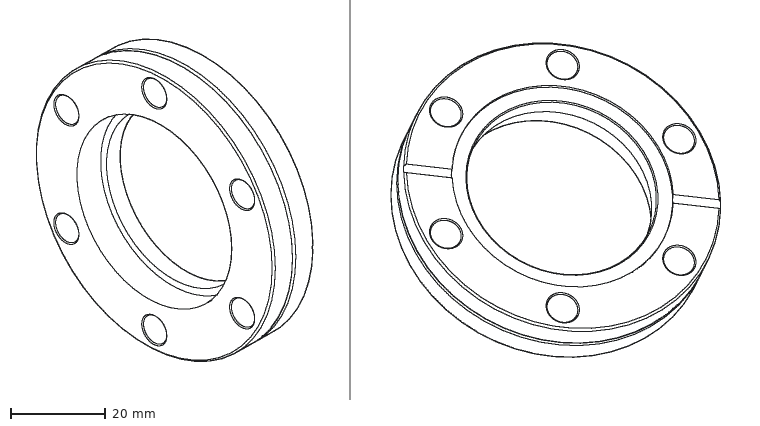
import cadquery as cq

flange_dia = 69.1
thickness = 12.7
rim_chamfer = 0.5

bore_dia = 41.3
socket_dia = 44.7
socket_depth = 7.4

gasket_recess_dia = 48.2
gasket_recess_depth = 0.75
bore_chamfer = 0.3

bolt_count = 6
bolt_hole_dia = 6.7
bolt_circle_dia = 58.7
bolt_chamfer = 0.3

rim_groove_width = 1.05
rim_groove_depth = 0.3

leak_groove_width = 2.1
leak_groove_depth = 0.7

front_y = -thickness / 2
back_y = thickness / 2
flange_radius = flange_dia / 2


def flange_ring():
    """Ring section revolved about Y: bore, -Y socket, +Y gasket recess and chamfered rim."""
    bore_radius = bore_dia / 2
    socket_radius = socket_dia / 2
    recess_radius = gasket_recess_dia / 2
    face_radius = flange_radius - rim_chamfer
    socket_floor_y = front_y + socket_depth
    recess_floor_y = back_y - gasket_recess_depth
    section = [
        (socket_radius, front_y),
        (face_radius, front_y),
        (flange_radius, front_y + rim_chamfer),
        (flange_radius, back_y - rim_chamfer),
        (face_radius, back_y),
        (recess_radius, back_y),
        (recess_radius, recess_floor_y),
        (bore_radius + bore_chamfer, recess_floor_y),
        (bore_radius, recess_floor_y - bore_chamfer),
        (bore_radius, socket_floor_y),
        (socket_radius, socket_floor_y),
    ]
    return cq.Workplane("XY").polyline(section).close().revolve(360, (0, 0), (0, 1))


def bolt_hole_cutter():
    """Through holes on the bolt circle, starting at the top, chamfered at both ends."""
    mouth_radius = bolt_hole_dia / 2 + bolt_chamfer
    hole_profile = [
        (0, front_y),
        (mouth_radius, front_y),
        (bolt_hole_dia / 2, front_y + bolt_chamfer),
        (bolt_hole_dia / 2, back_y - bolt_chamfer),
        (mouth_radius, back_y),
        (0, back_y),
    ]
    hole = cq.Workplane("XY").polyline(hole_profile).close().revolve(360, (0, 0), (0, 1))
    hole = hole.translate((0, 0, bolt_circle_dia / 2))
    cutter = cq.Workplane("XY")
    for index in range(bolt_count):
        cutter = cutter.add(hole.rotate((0, 0, 0), (0, 1, 0), index * 360 / bolt_count))
    return cutter.combine()


def rim_groove_cutter():
    """Shallow round-bottomed groove around the middle of the rim."""
    return (
        cq.Workplane("XY")
        .moveTo(flange_radius, -rim_groove_width / 2)
        .threePointArc((flange_radius - rim_groove_depth, 0), (flange_radius, rim_groove_width / 2))
        .close()
        .revolve(360, (0, 0), (0, 1))
    )


def leak_groove_cutter():
    """Round-bottomed groove straight across the +Y face along X."""
    return (
        cq.Workplane("YZ", origin=(-flange_radius, 0, 0))
        .moveTo(back_y, -leak_groove_width / 2)
        .threePointArc((back_y - leak_groove_depth, 0), (back_y, leak_groove_width / 2))
        .close()
        .extrude(flange_dia)
    )


result = (
    flange_ring()
    .cut(bolt_hole_cutter())
    .cut(rim_groove_cutter())
    .cut(leak_groove_cutter())
)